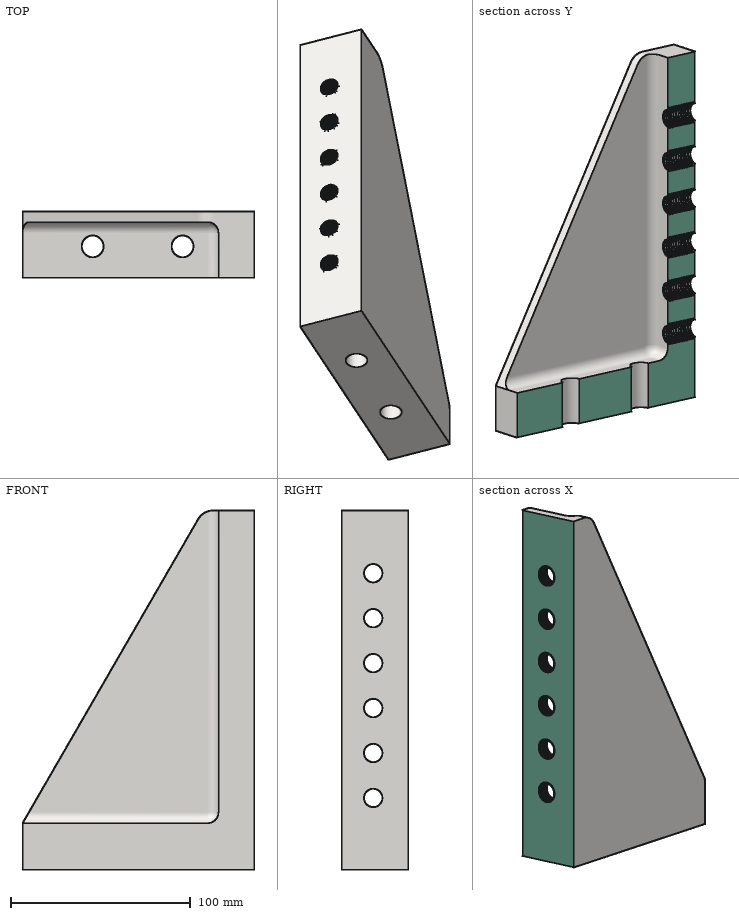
import cadquery as cq
import math

LENGTH = 129.0
WIDTH = 37.0
HEIGHT = 200.0

BASE_THICKNESS = 26.0
UPRIGHT_THICKNESS = 20.0
WEB_THICKNESS = 6.0
INNER_FILLET = 6.0

SLOPE_ANGLE = 60.0
SLOPE_TOP_RADIUS = 10.0

HOLE_ROW_Y = 17.5
BASE_HOLE_DIAMETER = 12.0
BASE_HOLE_PITCH = 50.0
BASE_HOLE_COUNT = 2
LAST_BASE_HOLE_FROM_BACK = 40.0
UPRIGHT_HOLE_PITCH = 25.0
UPRIGHT_HOLE_COUNT = 6
FIRST_UPRIGHT_HOLE_Z = 40.0

THREAD_MAJOR_DIAMETER = 12.0
THREAD_MINOR_DIAMETER = 10.1
THREAD_PITCH = 1.75
GROOVE_MOUTH_WIDTH = THREAD_PITCH * 3 / 4
GROOVE_ROOT_WIDTH = THREAD_PITCH / 8

OVERSHOOT = 20.0


def inner_cavity():
    """Space enclosed by base, upright and web, rounded where they meet."""
    length = LENGTH - UPRIGHT_THICKNESS + OVERSHOOT
    width = WIDTH - WEB_THICKNESS + OVERSHOOT
    height = HEIGHT - BASE_THICKNESS + OVERSHOOT
    box = cq.Workplane("XY").box(length, width, height, centered=False)
    box = box.edges("(>X and >Y) or (>Y and <Z) or (>X and <Z)").fillet(INNER_FILLET)
    return box.translate((-OVERSHOOT, -OVERSHOOT, BASE_THICKNESS))


def side_profile_body():
    """Full-width body with the sloped edge blended into the top face."""
    angle = math.radians(SLOPE_ANGLE)
    corner_x = (HEIGHT - BASE_THICKNESS) / math.tan(angle)
    arc_center_x = corner_x + SLOPE_TOP_RADIUS * math.tan(angle / 2)
    arc_center_z = HEIGHT - SLOPE_TOP_RADIUS

    def arc_point(direction):
        return (
            arc_center_x + SLOPE_TOP_RADIUS * math.cos(direction),
            arc_center_z + SLOPE_TOP_RADIUS * math.sin(direction),
        )

    arc_top = math.pi / 2
    arc_foot = arc_top + angle
    return (
        cq.Workplane("XZ")
        .lineTo(LENGTH, 0)
        .lineTo(LENGTH, HEIGHT)
        .lineTo(*arc_point(arc_top))
        .threePointArc(arc_point((arc_top + arc_foot) / 2), arc_point(arc_foot))
        .lineTo(0, BASE_THICKNESS)
        .close()
        .extrude(-WIDTH)
    )


def base_holes():
    """Vertical through holes in the base."""
    last_x = LENGTH - LAST_BASE_HOLE_FROM_BACK
    centers = [(last_x - i * BASE_HOLE_PITCH, HOLE_ROW_Y) for i in range(BASE_HOLE_COUNT)]
    return (
        cq.Workplane("XY")
        .pushPoints(centers)
        .circle(BASE_HOLE_DIAMETER / 2)
        .extrude(BASE_THICKNESS)
    )


def threaded_bore():
    """Solid filling one threaded bore: starts on the back face of the block and runs along -X."""
    minor_radius = THREAD_MINOR_DIAMETER / 2
    major_radius = THREAD_MAJOR_DIAMETER / 2
    turn_count = math.floor(UPRIGHT_THICKNESS / THREAD_PITCH)

    section = cq.Workplane("XY").lineTo(0, minor_radius)
    for turn in range(turn_count):
        depth = (turn + 0.5) * THREAD_PITCH
        section = (
            section.lineTo(-depth + GROOVE_MOUTH_WIDTH / 2, minor_radius)
            .lineTo(-depth + GROOVE_ROOT_WIDTH / 2, major_radius)
            .lineTo(-depth - GROOVE_ROOT_WIDTH / 2, major_radius)
            .lineTo(-depth - GROOVE_MOUTH_WIDTH / 2, minor_radius)
        )
    section = section.lineTo(-UPRIGHT_THICKNESS, minor_radius).lineTo(-UPRIGHT_THICKNESS, 0).close()
    return section.revolve(360, (0, 0), (1, 0))


def upright_holes():
    """Row of horizontal threaded through holes in the upright."""
    bore = threaded_bore()
    holes = cq.Workplane("XY")
    for i in range(UPRIGHT_HOLE_COUNT):
        hole_z = FIRST_UPRIGHT_HOLE_Z + i * UPRIGHT_HOLE_PITCH
        holes = holes.add(bore.translate((LENGTH, HOLE_ROW_Y, hole_z)))
    return holes.combine()


result = side_profile_body().cut(inner_cavity()).cut(base_holes()).cut(upright_holes())